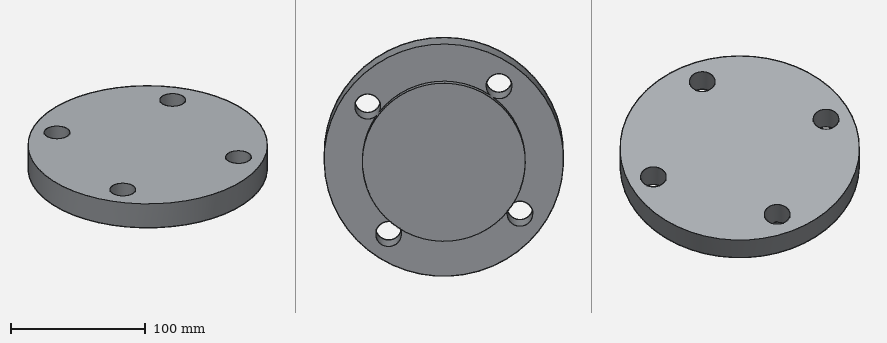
import cadquery as cq

flange_diameter = 177.8
total_height = 26.92
raised_face_diameter = 121.0
raised_face_height = 6.35
bolt_circle_diameter = 139.7
bolt_hole_diameter = 19.05
bolt_hole_count = 4

flange_thickness = total_height - raised_face_height


def make_raised_face():
    """Raised face, standing on the plane Z = 0."""
    return cq.Workplane("XY").circle(raised_face_diameter / 2).extrude(raised_face_height)


def make_flange_disc():
    """Main disc, resting on top of the raised face."""
    return (
        cq.Workplane("XY", origin=(0, 0, raised_face_height))
        .circle(flange_diameter / 2)
        .extrude(flange_thickness)
    )


def make_bolt_holes():
    """Through holes evenly spaced on the bolt circle, the first on the X axis."""
    return (
        cq.Workplane("XY")
        .polarArray(bolt_circle_diameter / 2, 0, 360, bolt_hole_count)
        .circle(bolt_hole_diameter / 2)
        .extrude(total_height)
    )


result = make_flange_disc().union(make_raised_face()).cut(make_bolt_holes())